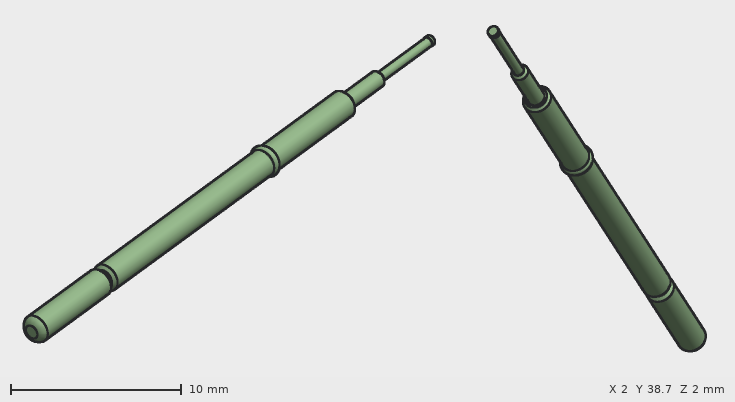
import cadquery as cq

total_length = 38.7

barrel_diameter = 1.75
barrel_length = 30.4
barrel_front_chamfer = 0.2
tail_face_diameter = 0.85
tail_nose_length = 0.43
tail_nose_bulge = 0.085

collar_diameter = 2.0
collar_centre = 22.65
collar_width = 0.5

groove_centre = 6.9
groove_mouth_width = 0.6
groove_floor_width = 0.15
groove_depth = 0.25

shank_diameter = 1.05
shank_end = 33.75
shank_chamfer = 0.2
rod_diameter = 0.6
tip_diameter = 0.65
tip_length = 0.27

barrel_radius = barrel_diameter / 2


def cylinder_between(diameter, start, end):
    """Solid cylinder on the Y axis between two stations."""
    return (
        cq.Workplane("XZ", origin=(0, start, 0))
        .circle(diameter / 2)
        .extrude(start - end)
    )


def spin_about_axis(profile):
    """Full turn of a closed XY profile around the Y axis."""
    return profile.revolve(360, (0, 0, 0), (0, 1, 0))


def make_barrel():
    """Solid body with a convex nose around the flat tail face."""
    profile = (
        cq.Workplane("XY")
        .lineTo(tail_face_diameter / 2, 0)
        .sagittaArc((barrel_radius, tail_nose_length), -tail_nose_bulge)
        .lineTo(barrel_radius, barrel_length)
        .lineTo(0, barrel_length)
        .close()
    )
    barrel = spin_about_axis(profile)
    return barrel.faces(">Y").edges().chamfer(barrel_front_chamfer)


def make_collar():
    """Ring with a crowned outer face, blending down to the barrel on both sides."""
    back = collar_centre - collar_width / 2
    front = collar_centre + collar_width / 2
    profile = (
        cq.Workplane("XY")
        .moveTo(0, back)
        .lineTo(barrel_radius, back)
        .threePointArc((collar_diameter / 2, collar_centre), (barrel_radius, front))
        .lineTo(0, front)
        .close()
    )
    return spin_about_axis(profile)


def make_crimp_groove():
    """Ring of material to remove from the barrel."""
    floor_radius = barrel_radius - groove_depth
    profile = (
        cq.Workplane("XY")
        .moveTo(barrel_radius, groove_centre - groove_mouth_width / 2)
        .lineTo(floor_radius, groove_centre - groove_floor_width / 2)
        .lineTo(floor_radius, groove_centre + groove_floor_width / 2)
        .lineTo(barrel_radius, groove_centre + groove_mouth_width / 2)
        .close()
    )
    return spin_about_axis(profile)


def make_plunger():
    shank = cylinder_between(shank_diameter, barrel_length, shank_end)
    shank = shank.faces(">Y").edges().chamfer(shank_chamfer)
    tip_start = total_length - tip_length
    rod = cylinder_between(rod_diameter, shank_end, tip_start)
    tip = cylinder_between(tip_diameter, tip_start, total_length)
    return shank.union(rod).union(tip)


result = make_barrel().cut(make_crimp_groove()).union(make_collar()).union(make_plunger())